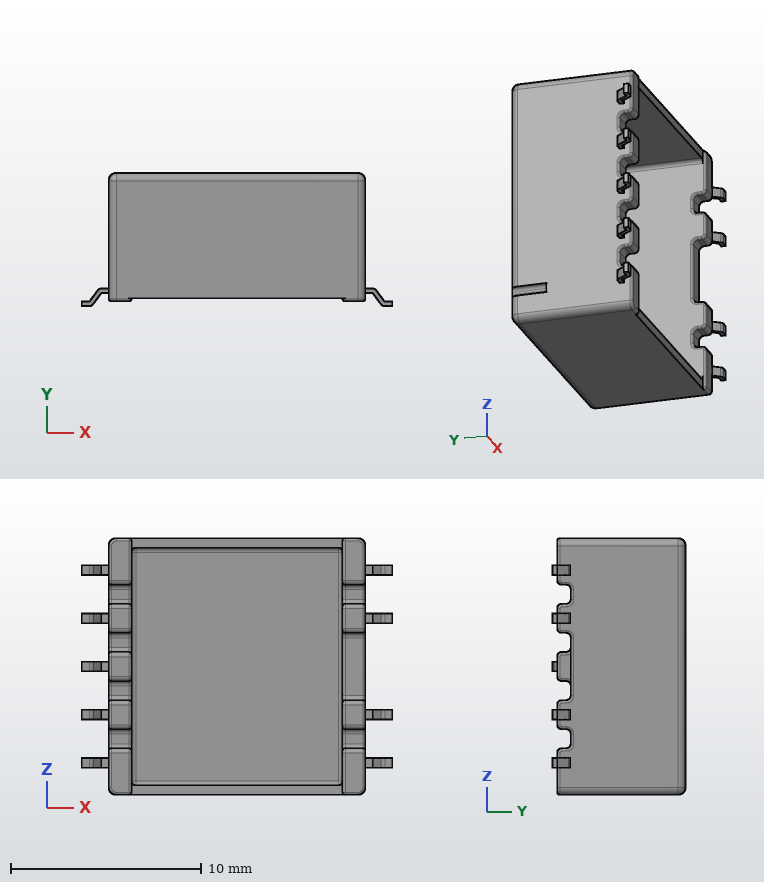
import cadquery as cq
import math

BODY_SIZE = 13.5
BODY_DEPTH = 6.75
STANDOFF = 0.25
OUTER_RADIUS = 0.4
SIDE_WALL = 1.2
END_WALL = 0.5
FLOOR_WALL = 0.69
CAVITY_RADIUS = 0.23
RIM_STEP = 0.16
RIM_RADIUS = 0.15

OVERALL_WIDTH = 16.32
LEAD_PITCH = 2.53
LEAD_COUNT = 5
LEAD_WIDTH = 0.52
LEAD_THICKNESS = 0.25
LEAD_HEIGHT = 0.93
FOOT_LENGTH = 0.4
SHANK_LENGTH = 0.38
LEAD_EMBED = 0.33

NOTCH_WIDTH = 1.0
NOTCH_DEPTH = 0.72
NOTCH_RADIUS = 0.25

MARK_WIDTH = 0.5
MARK_DEPTH = 0.25
MARK_LENGTH = 2.0
MARK_RADIUS = 0.2

EDGE_TOLERANCE = 0.02
OVERCUT = 0.16

half_body = BODY_SIZE / 2
half_cavity = half_body - SIDE_WALL
mouth = STANDOFF
back = STANDOFF + BODY_DEPTH

lead_levels = [(i - (LEAD_COUNT - 1) / 2) * LEAD_PITCH for i in range(LEAD_COUNT)]
left_notches = [(low + LEAD_PITCH / 2, NOTCH_WIDTH) for low in lead_levels[:-1]]
right_notches = [left_notches[0], (0, LEAD_PITCH + NOTCH_WIDTH), left_notches[-1]]
right_levels = lead_levels[: LEAD_COUNT // 2] + lead_levels[LEAD_COUNT // 2 + 1 :]


def make_block(x_min, x_max, y_min, y_max, z_min, z_max):
    size = (x_max - x_min, y_max - y_min, z_max - z_min)
    return cq.Workplane("XY").box(*size, centered=False).translate((x_min, y_min, z_min))


def make_shell():
    shell = make_block(-half_body, half_body, mouth, back, -half_body, half_body)
    return shell.edges("|Y").fillet(OUTER_RADIUS).faces(">Y").edges().fillet(OUTER_RADIUS)


def make_cavity():
    half_height = half_body - END_WALL
    y_ends = (mouth - OVERCUT, back - FLOOR_WALL)
    cavity = make_block(-half_cavity, half_cavity, *y_ends, -half_height, half_height)
    return cavity.edges("|Y or >Y").fillet(CAVITY_RADIUS)


def make_rim_relief():
    reach = half_body + OVERCUT
    return make_block(-half_cavity, half_cavity, mouth - OVERCUT, mouth + RIM_STEP, -reach, reach)


def make_notch(side, center, width):
    """Notch through one side wall: concave floor corners, convex flares at the mouth."""
    radius = NOTCH_RADIUS
    half = width / 2
    floor = mouth + NOTCH_DEPTH
    outline = (
        cq.Workplane("YZ")
        .moveTo(mouth - OVERCUT, half + radius)
        .lineTo(mouth, half + radius)
        .radiusArc((mouth + radius, half), -radius)
        .lineTo(floor - radius, half)
        .radiusArc((floor, half - radius), radius)
        .lineTo(floor, 0)
        .lineTo(mouth - OVERCUT, 0)
        .close()
    )
    length = SIDE_WALL + 2 * OVERCUT
    upper = outline.extrude(length)
    notch = upper.union(upper.mirror("XY"))
    start = half_cavity - OVERCUT if side > 0 else -half_body - OVERCUT
    return notch.translate((start, 0, center))


def make_mark():
    half = MARK_WIDTH / 2
    x_ends = (-half_body - OVERCUT, -half_body + MARK_DEPTH)
    groove = make_block(*x_ends, back - MARK_LENGTH, back + OVERCUT, -half, half)
    return groove.edges("|Y and >X").fillet(MARK_RADIUS).translate((0, 0, lead_levels[0]))


def make_right_lead():
    """Gull-wing lead: sharp inside each bend, rounded by the thickness outside."""
    t = LEAD_THICKNESS
    tip = OVERALL_WIDTH / 2
    foot_x, foot_y = tip - FOOT_LENGTH, t
    knee_x, knee_y = half_body + SHANK_LENGTH, LEAD_HEIGHT - t
    run = foot_x - knee_x
    rise = knee_y - foot_y
    angle = math.atan2(rise, run) + math.asin(t / math.hypot(run, rise))

    def bend_offset(turn):
        return t * math.sin(turn), t * math.cos(turn)

    (mid_x, mid_y), (end_x, end_y) = bend_offset(angle / 2), bend_offset(angle)
    return (
        cq.Workplane("XY")
        .moveTo(tip, 0)
        .lineTo(tip, t)
        .lineTo(foot_x, t)
        .lineTo(knee_x + end_x, knee_y + end_y)
        .threePointArc((knee_x + mid_x, knee_y + mid_y), (knee_x, LEAD_HEIGHT))
        .lineTo(half_body - LEAD_EMBED, LEAD_HEIGHT)
        .lineTo(half_body - LEAD_EMBED, knee_y)
        .lineTo(knee_x, knee_y)
        .lineTo(foot_x - end_x, foot_y - end_y)
        .threePointArc((foot_x - mid_x, foot_y - mid_y), (foot_x, 0))
        .close()
        .extrude(LEAD_WIDTH / 2, both=True)
    )


def round_side_wall_edges(body, face_distance):
    """Round the front edges, pads and notches alike, in the faces at x = +/- face_distance."""
    half_height = half_body - END_WALL
    y_ends = (mouth - EDGE_TOLERANCE, mouth + NOTCH_DEPTH + EDGE_TOLERANCE)

    def zone(x):
        return cq.selectors.BoxSelector(
            (x - EDGE_TOLERANCE, y_ends[0], -half_height),
            (x + EDGE_TOLERANCE, y_ends[1], half_height),
        )

    both_faces = zone(-face_distance) + zone(face_distance)
    return body.edges(both_faces).edges("not |X").fillet(RIM_RADIUS)


body = make_shell()
for side, notches in ((-1, left_notches), (1, right_notches)):
    for center, width in notches:
        body = body.cut(make_notch(side, center, width))
body = round_side_wall_edges(body, half_body)
body = body.cut(make_cavity()).cut(make_rim_relief())
body = round_side_wall_edges(body, half_cavity)

body = body.cut(make_mark())
right_lead = make_right_lead()
left_lead = right_lead.mirror("YZ")
for lead, levels in ((left_lead, lead_levels), (right_lead, right_levels)):
    for level in levels:
        body = body.union(lead.translate((0, 0, level)))

result = body